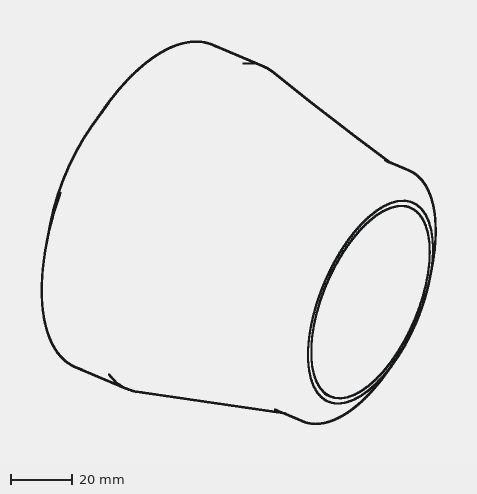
import cadquery as cq
import math

length = 100.0
large_diameter = 114.3
large_bore = 79.3
small_diameter = 88.9
small_bore = 66.9
root_face = 1.8
bevel_angle = 30.0
large_cylinder_end = 30.1
small_cylinder_start = 85.0
large_bore_depth = 17.1
edge_rounding = 1.0

large_radius = large_diameter / 2
small_radius = small_diameter / 2
large_bore_radius = large_bore / 2
small_bore_radius = small_bore / 2
large_face_radius = large_bore_radius + root_face
small_face_radius = small_bore_radius + root_face
bevel_slope = math.tan(math.radians(bevel_angle))
large_bevel_length = (large_radius - large_face_radius) * bevel_slope
small_bevel_length = (small_radius - small_face_radius) * bevel_slope

half_section = [
    (0, large_face_radius),
    (large_bevel_length, large_radius),
    (large_cylinder_end, large_radius),
    (small_cylinder_start, small_radius),
    (length - small_bevel_length, small_radius),
    (length, small_face_radius),
    (length, small_bore_radius),
    (small_cylinder_start, small_bore_radius),
    (large_bore_depth, large_bore_radius),
    (0, large_bore_radius),
]

reducer = cq.Workplane("XY").polyline(half_section).close().revolve(360, (0, 0, 0), (1, 0, 0))

outer_corner_edges = reducer.edges("%CIRCLE").filter(
    lambda edge: edge.radius() > large_face_radius + edge_rounding
)
result = outer_corner_edges.fillet(edge_rounding)